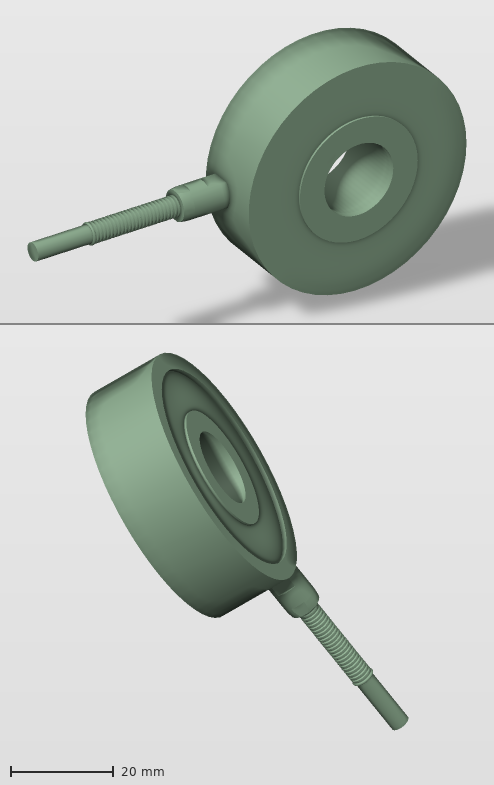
import cadquery as cq

body_diameter = 50.3
body_thickness = 15.5
bore_diameter = 15.9
rear_pad_diameter = 27.2
overall_thickness = 16.0
recess_diameter = 43.2
recess_depth = 0.9
front_pad_diameter = 25.1
front_pad_setback = 0.4

body_radius = body_diameter / 2
overall_length = 93.5
outlet_x = 5.1
gland_diameter = 7.1
gland_root = body_radius - 0.9
barrel_end = 33.2
wrench_flat_width = 5.9
wrench_flat_end = 29.1
cap_tip_diameter = 6.6
cap_end = 35.5
cap_flat_width = 6.45
cap_flat_start = 32.9
cable_diameter = 3.9
cable_radius = cable_diameter / 2
cable_end = overall_length - body_radius

rib_diameter = 4.5
rib_count = 24
collar_diameter = 4.8
collar_start = 55.1
collar_length = 0.6
rib_pitch = (collar_start - cap_end) / rib_count
rib_length = 0.6
rib_crest_length = 0.3


def disc(diameter, start, end):
    """Cylinder on the body axis between two X positions."""
    return cq.Workplane("YZ", origin=(start, 0, 0)).circle(diameter / 2).extrude(end - start)


def outlet_profile():
    """Half-section plane of the outlet: local x is radius, local y points toward -Y."""
    plane = cq.Plane(origin=(outlet_x, 0, 0), xDir=(1, 0, 0), normal=(0, 0, -1))
    return cq.Workplane(plane)


def turn(profile):
    """Revolve a closed half-section about the outlet axis."""
    return profile.revolve(360, (0, 0, 0), (0, 1, 0))


def make_rib(start):
    """Ring on the cable with sloping sides and a flat crest."""
    crest_radius = rib_diameter / 2
    crest_start = start + (rib_length - rib_crest_length) / 2
    profile = (
        outlet_profile()
        .moveTo(0, start)
        .lineTo(cable_radius, start)
        .lineTo(crest_radius, crest_start)
        .lineTo(crest_radius, crest_start + rib_crest_length)
        .lineTo(cable_radius, start + rib_length)
        .lineTo(0, start + rib_length)
        .close()
    )
    return turn(profile)


def make_collar():
    """Ring with a rounded crest that closes the ribbed sleeve."""
    crest = (collar_diameter / 2, collar_start + collar_length / 2)
    collar_end = collar_start + collar_length
    profile = (
        outlet_profile()
        .moveTo(0, collar_start)
        .lineTo(cable_radius, collar_start)
        .threePointArc(crest, (cable_radius, collar_end))
        .lineTo(0, collar_end)
        .close()
    )
    return turn(profile)


def flat_pair(width, start, end):
    """Material to remove for two flats, facing +Z and -Z, across the gland."""
    outlet_plane = cq.Workplane("XZ", origin=(outlet_x, -start, 0))
    block_size = 2 * gland_diameter
    return outlet_plane.rect(block_size, block_size).rect(block_size, width).extrude(end - start)


def make_body():
    recess = disc(recess_diameter, 0, recess_depth)
    front_pad = disc(front_pad_diameter, front_pad_setback, recess_depth)
    rear_pad = disc(rear_pad_diameter, body_thickness, overall_thickness)
    bore = disc(bore_diameter, 0, overall_thickness)
    ring = disc(body_diameter, 0, body_thickness).cut(recess)
    return ring.union(front_pad).union(rear_pad).cut(bore)


def make_gland():
    profile = (
        outlet_profile()
        .moveTo(0, gland_root)
        .lineTo(gland_diameter / 2, gland_root)
        .lineTo(gland_diameter / 2, barrel_end)
        .tangentArcPoint((cap_tip_diameter / 2, cap_end), relative=False)
        .lineTo(0, cap_end)
        .close()
    )
    wrench_flats = flat_pair(wrench_flat_width, gland_root, wrench_flat_end)
    cap_flats = flat_pair(cap_flat_width, cap_flat_start, cap_end)
    return turn(profile).cut(wrench_flats).cut(cap_flats)


def make_cable():
    profile = outlet_profile().moveTo(0, gland_root).lineTo(cable_radius, gland_root)
    profile = profile.lineTo(cable_radius, cable_end).lineTo(0, cable_end).close()
    cable = turn(profile).union(make_collar())
    for index in range(rib_count):
        cable = cable.union(make_rib(cap_end + index * rib_pitch))
    return cable


result = make_body().union(make_gland()).union(make_cable())